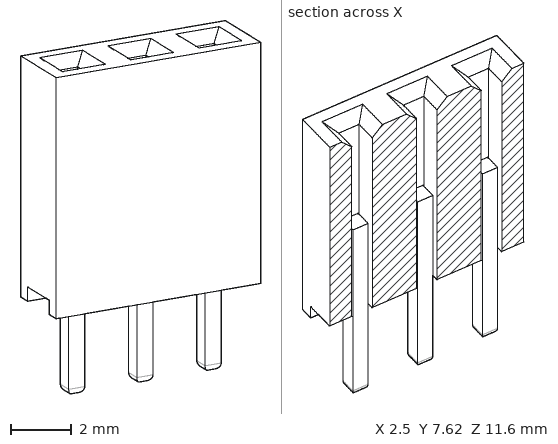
import cadquery as cq

pin_count = 3
pitch = 2.54
housing_width = 2.5
housing_length = pin_count * pitch
total_height = 11.55
housing_height = 8.4

channel_width = 1.5
channel_depth = 0.5

mouth_size = 1.59
socket_size = 0.8
mouth_depth = (mouth_size - socket_size) / 2

pin_size = 0.6
tip_radius = 0.25
housing_bottom = total_height - housing_height
pin_height = housing_bottom + housing_height / 2

pin_positions = [(i - (pin_count - 1) / 2) * pitch for i in range(pin_count)]


def make_socket(y):
    """Return the cavity of one socket, centred at the given Y."""
    hole = (
        cq.Workplane("XY", origin=(0, y, housing_bottom))
        .rect(socket_size, socket_size)
        .extrude(housing_height)
    )
    mouth = (
        cq.Workplane("XY", origin=(0, y, total_height))
        .rect(mouth_size, mouth_size)
        .workplane(offset=-mouth_depth)
        .rect(socket_size, socket_size)
        .loft(ruled=True)
    )
    return hole.union(mouth)


def make_housing():
    """Return the block with its underside channel and row of sockets."""
    block = (
        cq.Workplane("XY", origin=(0, 0, housing_bottom))
        .rect(housing_width, housing_length)
        .extrude(housing_height)
    )
    channel = (
        cq.Workplane("XY", origin=(0, 0, housing_bottom))
        .rect(channel_width, housing_length)
        .extrude(channel_depth)
    )
    block = block.cut(channel)
    for y in pin_positions:
        block = block.cut(make_socket(y))
    return block


def make_pin(y):
    """Return one square pin with a rounded lower tip, clear of its socket walls."""
    return (
        cq.Workplane("XY", origin=(0, y, 0))
        .rect(pin_size, pin_size)
        .extrude(pin_height)
        .faces("<Z")
        .edges()
        .fillet(tip_radius)
    )


housing = make_housing()
pins = [make_pin(y).solids().val() for y in pin_positions]

result = cq.Compound.makeCompound([housing.solids().val(), *pins])